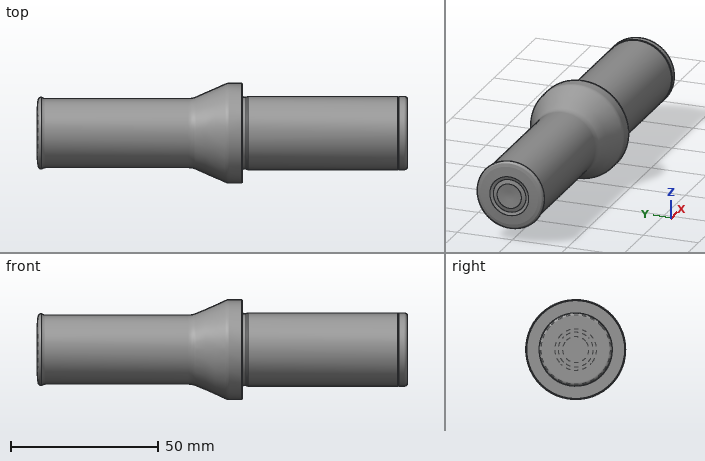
import cadquery as cq

LENGTH = 126.0
STEM_RADIUS = 23.5 / 2
LIP_RADIUS = 24.5 / 2
SHANK_RADIUS = 25.0 / 2
FLANGE_RADIUS = 34.0 / 2
RELIEF_RADIUS = LIP_RADIUS

FACE_RADIUS = 10.5
FACE_RIM_X = 0.3
LIP_SHOULDER_X = 0.5
LIP_SHOULDER_RADIUS = 11.6
LIP_CREST_X = 1.6
LIP_END_X = 2.9
LIP_ROUND_RADIUS = 1.1
lip_height = LIP_RADIUS - STEM_RADIUS
lip_fillet_radius = ((LIP_END_X - LIP_CREST_X) ** 2 + lip_height**2) / (2 * lip_height)
RING_GROOVE_OUTER_RADIUS = 7.0
RING_GROOVE_ROOT_RADIUS = 5.9
RING_GROOVE_INNER_RADIUS = 4.4
RING_GROOVE_DEPTH = 0.4
CENTRE_CONE_DEPTH = 0.4

CONE_BLEND_START_X = 51.7
CONE_START_X = 53.9
CONE_START_RADIUS = 12.2
CONE_END_X = 64.3
CONE_END_RADIUS = 16.8
FLANGE_START_X = 65.4
FLANGE_END_X = 69.9
FLANGE_CHAMFER = 0.4

RELIEF_FILLET = 0.4
RELIEF_END_X = 71.1
SHANK_START_X = 71.8

JOINT_X = 122.7
JOINT_CHAMFER = 0.3
JOINT_RADIUS = SHANK_RADIUS - JOINT_CHAMFER
CAP_EDGE_RADIUS = 1.1


def revolve_about_x(profile):
    """Turn a closed half profile in the XY plane about the X axis."""
    return profile.close().revolve(360, (0, 0, 0), (1, 0, 0))


def make_spindle():
    """Stem with a lipped end, cone, flange and shank."""
    profile = (
        cq.Workplane("XY")
        .moveTo(CENTRE_CONE_DEPTH, 0)
        .lineTo(0, RING_GROOVE_INNER_RADIUS)
        .lineTo(RING_GROOVE_DEPTH, RING_GROOVE_ROOT_RADIUS)
        .lineTo(0, RING_GROOVE_OUTER_RADIUS)
        .lineTo(FACE_RIM_X, FACE_RADIUS)
        .lineTo(LIP_SHOULDER_X, LIP_SHOULDER_RADIUS)
        .radiusArc((LIP_CREST_X, LIP_RADIUS), LIP_ROUND_RADIUS)
        .radiusArc((LIP_END_X, STEM_RADIUS), -lip_fillet_radius)
        .lineTo(CONE_BLEND_START_X, STEM_RADIUS)
        .tangentArcPoint((CONE_START_X, CONE_START_RADIUS), relative=False)
        .lineTo(CONE_END_X, CONE_END_RADIUS)
        .tangentArcPoint((FLANGE_START_X, FLANGE_RADIUS), relative=False)
        .lineTo(FLANGE_END_X - FLANGE_CHAMFER, FLANGE_RADIUS)
        .lineTo(FLANGE_END_X, FLANGE_RADIUS - FLANGE_CHAMFER)
        .lineTo(FLANGE_END_X, RELIEF_RADIUS + RELIEF_FILLET)
        .radiusArc((FLANGE_END_X + RELIEF_FILLET, RELIEF_RADIUS), -RELIEF_FILLET)
        .lineTo(RELIEF_END_X, RELIEF_RADIUS)
        .lineTo(SHANK_START_X, SHANK_RADIUS)
        .lineTo(JOINT_X - JOINT_CHAMFER, SHANK_RADIUS)
        .lineTo(JOINT_X, JOINT_RADIUS)
        .lineTo(JOINT_X, 0)
    )
    return revolve_about_x(profile)


def make_end_cap():
    """Round-edged cap, chamfered where it butts against the shank."""
    profile = (
        cq.Workplane("XY")
        .moveTo(JOINT_X, 0)
        .lineTo(JOINT_X, JOINT_RADIUS)
        .lineTo(JOINT_X + JOINT_CHAMFER, SHANK_RADIUS)
        .lineTo(LENGTH - CAP_EDGE_RADIUS, SHANK_RADIUS)
        .tangentArcPoint((LENGTH, SHANK_RADIUS - CAP_EDGE_RADIUS), relative=False)
        .lineTo(LENGTH, 0)
    )
    return revolve_about_x(profile)


spindle = make_spindle()
end_cap = make_end_cap()

result = cq.Compound.makeCompound([spindle.val(), end_cap.val()])